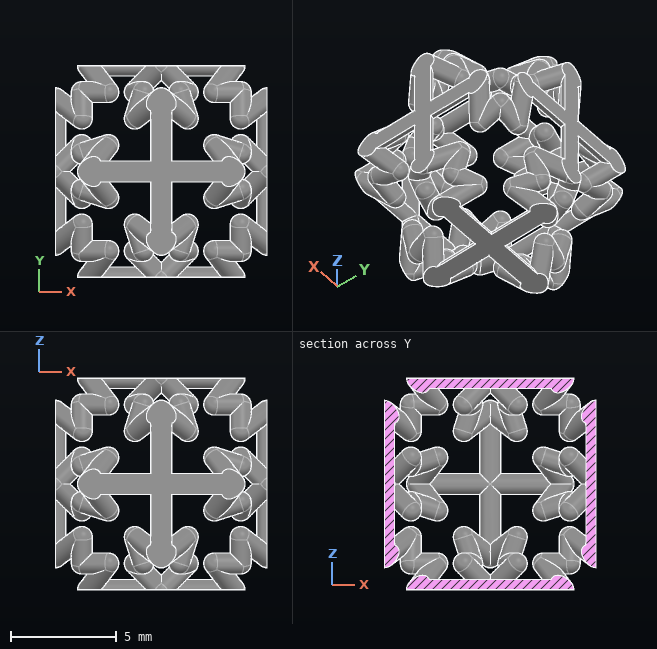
import cadquery as cq

CELL = 10.0
STRUT_DIAMETER = 1.0
ARM_REACH = 3.46
EDGE_NODE_OFFSET = 0.85

HALF = CELL / 2
STEP = CELL / 8
RADIUS = STRUT_DIAMETER / 2
INNER = HALF - STEP
ELBOW = HALF - 2 * STEP

SIGNS = (1, -1)
AXES = (0, 1, 2)


def point(depth_axis, arm_axis, depth, along, across):
    """Place a node from its depth, along-arm and across-arm coordinates."""
    coordinates = [across] * len(AXES)
    coordinates[depth_axis] = depth
    coordinates[arm_axis] = along
    return cq.Vector(*coordinates)


def strut(start, end):
    """Round strut between two nodes."""
    axis = end - start
    return cq.Solid.makeCylinder(RADIUS, axis.Length, start, axis)


def ball(centre):
    """Ball joint with the same radius as the struts."""
    return cq.Workplane("XY").sphere(RADIUS).val().moved(cq.Location(centre))


def cross_arm(depth_axis, arm_axis, face_side):
    """Full bar of a face cross, lying in the face plane."""
    ends = [point(depth_axis, arm_axis, face_side * HALF, s * ARM_REACH, 0) for s in SIGNS]
    return [strut(*ends)] + [ball(end) for end in ends]


def branch(depth_axis, arm_axis, face_side, arm_side, across_side):
    """Bent strut from an arm tip through its elbow to the shared edge node."""
    depth = face_side * INNER
    tip = point(depth_axis, arm_axis, face_side * HALF, arm_side * ARM_REACH, 0)
    elbow = point(depth_axis, arm_axis, depth, arm_side * ELBOW, across_side * STEP)
    edge_node = point(
        depth_axis, arm_axis, depth, arm_side * INNER, across_side * EDGE_NODE_OFFSET
    )
    pieces = [strut(tip, elbow), ball(elbow), strut(elbow, edge_node)]
    if depth_axis < arm_axis:
        pieces.append(ball(edge_node))
    return pieces


def lattice_pieces():
    """Collect the struts and balls of all six faces."""
    pieces = []
    for depth_axis in AXES:
        for arm_axis in AXES:
            if arm_axis == depth_axis:
                continue
            for face_side in SIGNS:
                pieces += cross_arm(depth_axis, arm_axis, face_side)
                for arm_side in SIGNS:
                    for across_side in SIGNS:
                        pieces += branch(depth_axis, arm_axis, face_side, arm_side, across_side)
    return pieces


pieces = lattice_pieces()
lattice = pieces[0].fuse(*pieces[1:])
cell_box = cq.Workplane("XY").box(CELL, CELL, CELL)

result = cell_box.intersect(cq.Workplane(lattice))